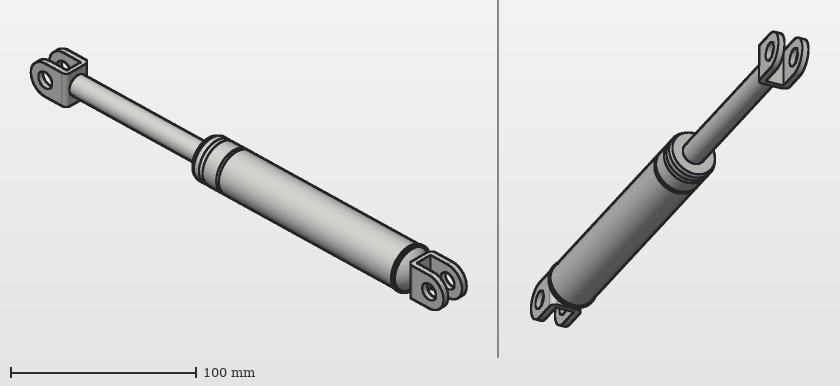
import cadquery as cq

LENGTH = 311.0

CLEVIS_LENGTH = 26.7
CLEVIS_WIDTH = 18.0
CLEVIS_HEIGHT = 21.8
EAR_THICKNESS = 3.7
BASE_THICKNESS = 3.0
BEND_RADIUS = 3.0
PIN_HOLE_DIAMETER = 10.3

ROD_RADIUS = 6.5

FRONT_FACE_X = -30.2
TUBE_RADIUS = 13.7
FRONT_CHAMFER_LENGTH = 2.2
FRONT_CHAMFER_DEPTH = 1.0
GROOVE_DEPTH = 0.5
GROOVES = [(6.0, 2.8), (19.0, 2.0)]

RIM_RADIUS = 14.15
RIM_WIDTH = 2.0
TAIL_LENGTH = 6.0
TAIL_START_RADIUS = 13.0
TAIL_END_RADIUS = 7.0
TAIL_BULGE = 0.5

REAR_BASE_X = LENGTH / 2 - CLEVIS_LENGTH
TAIL_START_X = REAR_BASE_X - TAIL_LENGTH
RIM_START_X = TAIL_START_X - RIM_WIDTH


def make_clevis():
    """Fork with its base face at X = 0 and rounded ears pointing along +X."""
    ear_radius = CLEVIS_HEIGHT / 2
    eye_x = CLEVIS_LENGTH - ear_radius
    straight = cq.Workplane("XY").box(
        eye_x, CLEVIS_WIDTH, CLEVIS_HEIGHT, centered=(False, True, True)
    )
    block = straight.edges("|Z and <X").fillet(BEND_RADIUS)
    across = cq.Workplane("XZ", origin=(eye_x, CLEVIS_WIDTH / 2, 0))
    block = block.union(across.circle(ear_radius).extrude(CLEVIS_WIDTH))
    gap = cq.Workplane("XY").box(
        CLEVIS_LENGTH,
        CLEVIS_WIDTH - 2 * EAR_THICKNESS,
        CLEVIS_HEIGHT,
        centered=(False, True, True),
    ).translate((BASE_THICKNESS, 0, 0))
    pin_hole = across.circle(PIN_HOLE_DIAMETER / 2).extrude(CLEVIS_WIDTH)
    return block.cut(gap).cut(pin_hole)


def make_rod():
    """Front clevis and the rod, which ends on the cylinder's front face."""
    base_x = CLEVIS_LENGTH - LENGTH / 2
    rod_start_x = base_x - BASE_THICKNESS
    shaft = (
        cq.Workplane("YZ", origin=(rod_start_x, 0, 0))
        .circle(ROD_RADIUS)
        .extrude(FRONT_FACE_X - rod_start_x)
    )
    clevis = make_clevis().rotate((0, 0, 0), (0, 0, 1), 180).translate((base_x, 0, 0))
    return clevis.union(shaft)


def make_groove(start_x, width):
    """Ring with a rounded section that cuts a shallow groove around the tube."""
    return (
        cq.Workplane("XY")
        .moveTo(start_x, TUBE_RADIUS)
        .threePointArc(
            (start_x + width / 2, TUBE_RADIUS - GROOVE_DEPTH), (start_x + width, TUBE_RADIUS)
        )
        .close()
        .revolve(360, (0, 0, 0), (1, 0, 0))
    )


def make_cylinder():
    """Grooved tube with a rear rim, a domed tail and the rear clevis."""
    tail_end_x = REAR_BASE_X + BASE_THICKNESS
    body = (
        cq.Workplane("XY")
        .moveTo(FRONT_FACE_X, 0)
        .lineTo(FRONT_FACE_X, TUBE_RADIUS - FRONT_CHAMFER_DEPTH)
        .lineTo(FRONT_FACE_X + FRONT_CHAMFER_LENGTH, TUBE_RADIUS)
        .lineTo(RIM_START_X, TUBE_RADIUS)
        .lineTo(RIM_START_X, RIM_RADIUS)
        .lineTo(TAIL_START_X, RIM_RADIUS)
        .lineTo(TAIL_START_X, TAIL_START_RADIUS)
        .sagittaArc((REAR_BASE_X, TAIL_END_RADIUS), TAIL_BULGE)
        .lineTo(tail_end_x, TAIL_END_RADIUS)
        .lineTo(tail_end_x, 0)
        .close()
        .revolve(360, (0, 0, 0), (1, 0, 0))
    )
    for distance, width in GROOVES:
        body = body.cut(make_groove(FRONT_FACE_X + distance, width))
    return body.union(make_clevis().translate((REAR_BASE_X, 0, 0)))


rod = make_rod()
cylinder = make_cylinder()
result = cq.Compound.makeCompound([rod.val(), cylinder.val()])